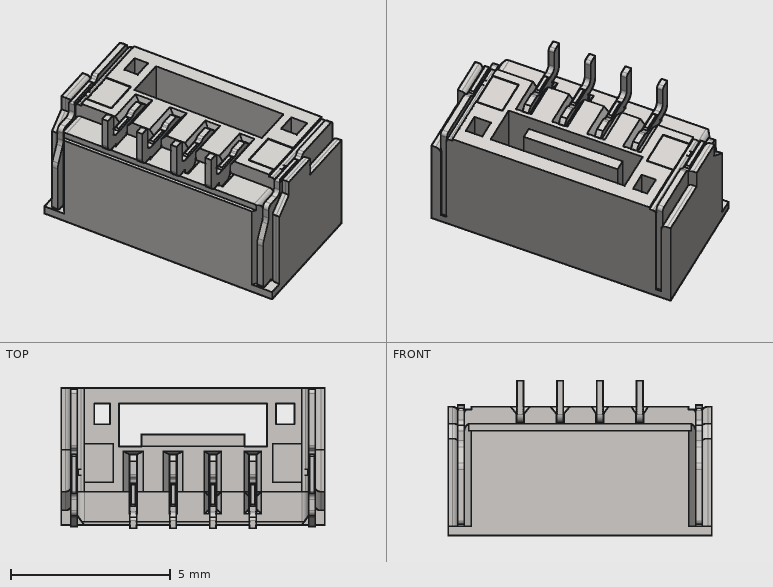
import cadquery as cq
import math


length = 8.25
depth = 4.3
top_z = 4.035
base_height = 0.3

clip_inner_x = 3.61
clip_outer_x = 3.83
core_half = clip_inner_x
wall_inner_x = 3.795

shelf_z = 3.51
shelf_depth = 1.05
corner_width = 0.215
corner_depth = 0.3
rim_setback = 0.115
rim_height = 0.22
front_half = core_half - corner_width

margin_drop = 0.08
margin_round = 0.11
barb_y = 1.66
barb_width = 0.2
barb_bevel = 0.03

wall_notch_z = 3.39
wall_notch_y = 2.36
wall_slope_z = 3.04
wall_front_y = 0.46
wall_round = 0.2

window_back_y = 3.8
window_front_y = 2.47
window_length = 4.62
side_window_front_y = 3.16
side_window_inner_x = 2.6
left_window_length = 0.49
right_window_length = 0.57
tongue_length = 3.23
tongue_depth = 0.37

panel_inner_x = 2.49
panel_front_y = 1.345
panel_width = 1.205
panel_recess = 0.03

clip_top_z = 4.09
clip_back_y = 4.25
clip_front_y = -0.05
clip_neck_y = 1.0
clip_step_z = 3.45
clip_bottom_z = 0.355
clip_crest_front_y = 2.44
clip_dip_y = 2.31
clip_ridge_back_y = 2.22
clip_knee_upper_z = 2.88
clip_knee_lower_z = 2.19
clip_crest_round = 0.12
clip_neck_round = 0.07
clip_step_inner_round = 0.18
clip_step_outer_round = 0.165
clip_knee_round = 0.45
clip_toe_round = 0.115

contact_count = 4
contact_pitch = 1.245
contact_width = 0.21
contact_tip_z = 4.85
contact_front_y = -0.1
contact_leg = 0.35
contact_bottom_z = 3.54
contact_back_y = 2.2
contact_keel_front_y = 0.42
contact_hump_z = top_z
contact_back_z = 3.87
contact_hump_back_y = 2.005
contact_hump_front_y = 1.54
contact_dip_y = 1.42
contact_ridge_back_y = 1.32
contact_ridge_front_y = 0.59
contact_hump_round = 0.15
contact_tip_round = 0.1
contact_bend_inner_round = 0.18
contact_bend_outer_round = 0.255

arm_z = 3.935
ridge_z = 3.985
bevel_width = 0.04
bevel_height = ridge_z - arm_z
ridge_ramp = 0.06

long_pocket_half = 0.26
short_pocket_half = 0.305
pocket_depth = 0.215
pocket_back_y = 2.31
pocket_back_slope = 0.09
slit_half = 0.12
slit_front_y = 0.355
slit_floor_z = shelf_z - pocket_depth


def box(x0, x1, y0, y1, z0, z1):
    """Axis-aligned block between two corners."""
    return cq.Workplane("XY").box(x1 - x0, y1 - y0, z1 - z0, centered=False).translate((x0, y0, z0))


def yz_plate(corners, x0, x1):
    """Plate between x0 and x1; corners are (y, z, radius), a radius of 0 stays sharp."""
    count = len(corners)
    legs = []
    for i, (y, z, radius) in enumerate(corners):
        here = cq.Vector(y, z)
        to_last = (cq.Vector(*corners[i - 1][:2]) - here).normalized()
        to_next = (cq.Vector(*corners[(i + 1) % count][:2]) - here).normalized()
        half_angle = to_last.getAngle(to_next) / 2
        setback = radius / math.tan(half_angle)
        bisector = (to_last + to_next).normalized()
        middle = here + bisector * (radius / math.sin(half_angle) - radius)
        legs.append((here + to_last * setback, middle, here + to_next * setback, radius))
    outline = cq.Workplane("YZ").moveTo(*legs[0][0].toTuple()[:2])
    for i, (start, middle, end, radius) in enumerate(legs):
        if i > 0:
            outline = outline.lineTo(*start.toTuple()[:2])
        if radius > 0:
            outline = outline.threePointArc(middle.toTuple()[:2], end.toTuple()[:2])
    return outline.close().extrude(x1 - x0).translate((x0, 0, 0))


def both_ends(solid):
    """A +X feature together with its mirror image at -X."""
    return solid.union(solid.mirror("YZ"))


def bevel_cutter(x_mid, half_width, y0, y1):
    """Two wedges that bevel the upper edges of a thin strip running along Y."""
    wedge = (
        cq.Workplane("XZ")
        .moveTo(half_width, ridge_z)
        .lineTo(half_width - bevel_width, ridge_z)
        .lineTo(half_width, ridge_z - bevel_height)
        .close()
        .extrude(y0 - y1)
        .translate((0, y0, 0))
    )
    return both_ends(wedge).translate((x_mid, 0, 0))


def make_core():
    """Central block with bevelled front corners, a front shelf and a stepped rim."""
    shelf = box(-core_half, core_half, 0, depth, 0, shelf_z).edges("|Y and >Z").fillet(corner_width)
    margin_z = top_z - margin_drop
    block = box(-core_half, core_half, shelf_depth, depth, base_height, margin_z)
    block = block.edges("|Y and >Z").fillet(margin_round)
    upper = box(-front_half, front_half, shelf_depth, depth, base_height, top_z)
    barb = box(
        core_half - margin_round, core_half,
        barb_y - barb_width / 2, barb_y + barb_width / 2,
        shelf_z, margin_z,
    )
    barb = barb.edges("|Y and >Z and >X").chamfer(barb_bevel)
    corner = (
        cq.Workplane("XY")
        .moveTo(front_half, 0)
        .lineTo(core_half, 0)
        .lineTo(core_half, corner_depth)
        .close()
        .extrude(top_z)
    )
    rim = box(-core_half, core_half, 0, rim_setback, shelf_z - rim_height, shelf_z)
    shelf = shelf.cut(both_ends(corner)).cut(rim)
    base = box(-length / 2, length / 2, 0, depth, 0, base_height)
    return shelf.union(block).union(upper).union(both_ends(barb)).union(base)


def make_end_wall():
    """Outer wall at +X, notched at the rear, sloped at the front, rounded towards the slot."""
    corners = [
        (depth, 0, 0),
        (depth, wall_notch_z, 0),
        (wall_notch_y, wall_notch_z, 0),
        (wall_notch_y, top_z, 0),
        (shelf_depth, top_z, 0),
        (shelf_depth, shelf_z, 0),
        (wall_front_y, wall_slope_z, 0),
        (wall_front_y, 0, 0),
    ]
    wall = yz_plate(corners, wall_inner_x, length / 2)
    reach = 0.08
    front_and_top = cq.selectors.BoxSelector(
        (wall_inner_x - reach, wall_front_y - reach, base_height),
        (wall_inner_x + reach, wall_notch_y - reach, top_z + reach),
    )
    rear = cq.selectors.BoxSelector(
        (wall_inner_x - reach, wall_notch_y + reach, wall_notch_z - reach),
        (wall_inner_x + reach, depth - reach, wall_notch_z + reach),
    )
    return wall.edges(front_and_top).fillet(wall_round).edges(rear).fillet(wall_round)


def make_clip():
    """Flat hold-down clip at +X."""
    corners = [
        (clip_back_y, base_height, 0),
        (clip_back_y, clip_top_z, clip_crest_round),
        (clip_crest_front_y, clip_top_z, clip_crest_round),
        (clip_dip_y, arm_z, clip_crest_round),
        (clip_ridge_back_y, arm_z, 0),
        (clip_ridge_back_y - ridge_ramp, ridge_z, 0),
        (clip_neck_y, ridge_z, clip_neck_round),
        (clip_neck_y, clip_step_z, clip_step_inner_round),
        (corner_depth, clip_step_z, clip_step_outer_round),
        (corner_depth, clip_knee_upper_z, clip_knee_round),
        (clip_front_y, clip_knee_lower_z, clip_knee_round),
        (clip_front_y, clip_bottom_z, clip_toe_round),
        (wall_front_y, clip_bottom_z, 0),
        (wall_front_y, base_height, 0),
    ]
    clip = yz_plate(corners, clip_inner_x, clip_outer_x)
    middle = (clip_inner_x + clip_outer_x) / 2
    return clip.cut(bevel_cutter(middle, clip_outer_x - middle, clip_neck_y, clip_ridge_back_y))


def make_contact(x):
    """Contact seated in its slit by a keel and bent upwards at the front."""
    leg_back_y = contact_front_y + contact_leg
    corners = [
        (contact_back_y, slit_floor_z, 0),
        (contact_back_y, contact_back_z, 0),
        (contact_hump_back_y, contact_hump_z, 0),
        (contact_hump_front_y, contact_hump_z, contact_hump_round),
        (contact_dip_y, arm_z, contact_hump_round),
        (contact_ridge_back_y, arm_z, 0),
        (contact_ridge_back_y - ridge_ramp, ridge_z, 0),
        (contact_ridge_front_y + ridge_ramp, ridge_z, 0),
        (contact_ridge_front_y, arm_z, 0),
        (leg_back_y, arm_z, contact_bend_inner_round),
        (leg_back_y, contact_tip_z, contact_tip_round),
        (contact_front_y, contact_tip_z, 0),
        (contact_front_y, contact_bottom_z, contact_bend_outer_round),
        (contact_keel_front_y, contact_bottom_z, 0),
        (contact_keel_front_y, slit_floor_z, 0),
    ]
    half = contact_width / 2
    contact = yz_plate(corners, x - half, x + half)
    return contact.cut(bevel_cutter(x, half, contact_ridge_front_y, contact_ridge_back_y))


def make_pocket(x, half):
    """V-sided lead-in pocket around one contact with a slit below it, open towards the front."""
    floor_z = top_z - pocket_depth
    slit_back_y = pocket_back_y - pocket_back_slope
    lead_in = (
        cq.Workplane("XZ")
        .moveTo(-half, top_z)
        .lineTo(half, top_z)
        .lineTo(slit_half, floor_z)
        .lineTo(-slit_half, floor_z)
        .close()
        .extrude(shelf_depth - pocket_back_y)
        .translate((0, shelf_depth, 0))
    )
    back_slope = yz_plate(
        [(slit_back_y, floor_z, 0), (pocket_back_y, top_z, 0), (pocket_back_y, floor_z, 0)],
        -half, half,
    )
    upper_slit = box(-slit_half, slit_half, shelf_depth, slit_back_y, contact_bottom_z, floor_z)
    shelf_slit = box(-slit_half, slit_half, slit_front_y, shelf_depth, slit_floor_z, shelf_z)
    return lead_in.cut(back_slope).union(upper_slit).union(shelf_slit).translate((x, 0, 0))


def make_shelf_recess(x):
    """Tapered recess in the shelf that carries a long pocket on towards the front."""
    recess_length = shelf_depth - slit_front_y
    recess_taper = math.degrees(math.atan2(long_pocket_half - slit_half, shelf_z - slit_floor_z))
    return (
        cq.Workplane("XY", origin=(x, slit_front_y + recess_length / 2, shelf_z))
        .rect(2 * long_pocket_half, recess_length)
        .extrude(slit_floor_z - shelf_z, taper=recess_taper)
    )


contact_places = [(i - (contact_count - 1) / 2) * contact_pitch for i in range(contact_count)]

result = make_core().union(both_ends(make_end_wall()))

result = result.cut(box(-window_length / 2, window_length / 2, window_front_y, window_back_y, 0, top_z))
tongue_back_y = window_front_y + tongue_depth
result = result.union(box(-tongue_length / 2, tongue_length / 2, window_front_y, tongue_back_y, 0, shelf_z))

left_window = (-side_window_inner_x - left_window_length, -side_window_inner_x)
right_window = (side_window_inner_x, side_window_inner_x + right_window_length)
for x0, x1 in (left_window, right_window):
    result = result.cut(box(x0, x1, side_window_front_y, window_back_y, 0, top_z))

panel = box(
    panel_inner_x, front_half,
    panel_front_y, panel_front_y + panel_width,
    top_z - panel_recess, top_z,
)
result = result.cut(both_ends(panel))

for place in contact_places:
    if place > 0:
        result = result.cut(make_pocket(place, long_pocket_half)).cut(make_shelf_recess(place))
    else:
        result = result.cut(make_pocket(place, short_pocket_half))
for place in contact_places:
    result = result.union(make_contact(place))
result = result.union(both_ends(make_clip()))